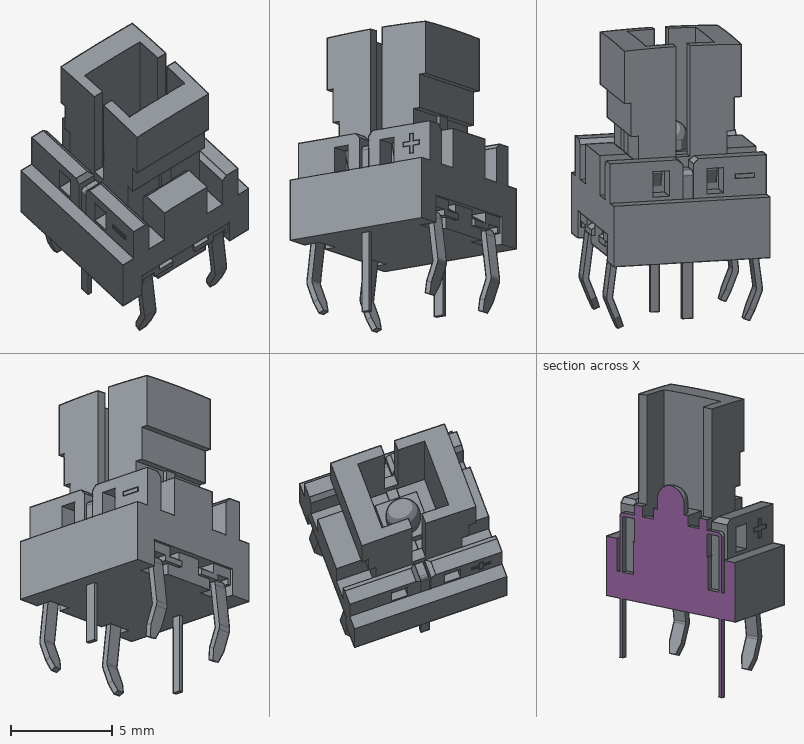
import cadquery as cq
import math


body_width = 8.0
half_body = body_width / 2
base_height = 1.39
ledge_height = 3.07
wall_top = 5.07
wall_outer_y = 3.32
wall_inner_y = 2.34
lead_in = 0.25
block_inner_x = 2.34
block_half_y = 1.36

window_width = 0.85
window_center_x = 1.39
window_bottom = 3.26
window_top = 4.55
hook_width = 0.58
hook_center_x = 1.42
hook_bottom = 3.58
hook_bevel_top = 4.25
hook_reach = 0.19

mark_x = 2.9
mark_z = 4.08
mark_length = 1.0
mark_line = 0.22
mark_height = 0.05

plunger_half_y = 2.28
plunger_foot_half_x = 2.26
plunger_neck_half_x = 2.65
plunger_head_half_x = 3.0
neck_bottom = 6.15
head_bottom = 7.85
dome_apex = 10.62
dome_radius = 55.52
rib_half_x = 2.47
rib_width = 0.61
cavity_width = 3.5
cavity_floor = 4.3
slot_width = 0.72

lamp_diameter = 1.7
lamp_dome_base = 5.5
lamp_base_width = 2.18
lamp_base_top = 4.98
lead_thickness = 0.2
lead_outer_y = 3.18
lead_top = 4.44
lead_bend_radius = 0.23
short_lead_width = 0.54
short_lead_tip = -3.02
long_lead_width = 0.44
long_lead_tip = -4.02
channel_width = 0.54

recess_half_y = 2.79
recess_x = 3.68
pad_x = 3.87
pad_inner_y = 0.7
pad_bottom = 0.57
notch_bottom = 0.86
notch_outer_y = 1.56
notch_slope = 30.0
leg_bay_inner_y = 1.5
leg_bay_x = 3.07

leg_center_y = 2.25
leg_width = 0.73
leg_thickness = 0.3
leg_top = notch_bottom
leg_tip_width = 0.38
leg_taper_length = 0.58
leg_outer_line = [(-2.92, leg_top), (-3.64, leg_top), (-4.0, -1.91), (-3.37, -3.49)]
leg_shoulder_radius = 0.55
leg_knee_radius = 0.53


def box(x0, x1, y0, y1, z0, z1):
    """Box between two opposite corners."""
    return cq.Workplane("XY").box(x1 - x0, y1 - y0, z1 - z0, centered=False).translate((x0, y0, z0))


def centered_box(width_x, width_y, z0, z1):
    """Box centred on the Z axis."""
    return box(-width_x / 2, width_x / 2, -width_y / 2, width_y / 2, z0, z1)


def both_sides(shape, plane):
    """The shape together with its mirror image."""
    return shape.union(shape.mirror(plane))


def make_wall():
    """Wall on the -Y side with its lead channel, latch windows and chamfered upper edges."""
    half_channel = channel_width / 2
    wall = box(half_channel, half_body, -wall_outer_y, -wall_inner_y, ledge_height, wall_top)
    wall = wall.faces(">Z").edges(">Y or <X").chamfer(lead_in)
    window = box(window_center_x - window_width / 2, window_center_x + window_width / 2,
                 -wall_outer_y, -wall_inner_y, window_bottom, window_top)
    return both_sides(wall.cut(window), "YZ")


def make_block():
    """Upright block on the -X side of the well."""
    block = box(-half_body, -block_inner_x, -block_half_y, block_half_y, ledge_height, wall_top)
    return block.edges("|Y and >X and >Z").chamfer(lead_in)


def make_side_recess():
    """Recess in the -X face of the base, leaving two notched pads and two leg bays."""
    recess = box(-half_body, -recess_x, -recess_half_y, recess_half_y, 0, base_height)
    pad = box(-pad_x, -recess_x, pad_inner_y, recess_half_y, pad_bottom, base_height)
    notch_height = base_height - notch_bottom
    notch_depth = notch_height / math.tan(math.radians(notch_slope))
    notch = (cq.Workplane("XZ", origin=(0, notch_outer_y, 0))
             .polyline([(-pad_x, notch_bottom), (-pad_x + notch_depth, base_height), (-pad_x, base_height)])
             .close().extrude(notch_outer_y - pad_inner_y))
    bay = box(-half_body, -leg_bay_x, leg_bay_inner_y, recess_half_y, 0, pad_bottom)
    leg_gap = box(-half_body, -leg_bay_x, leg_center_y - leg_width / 2, leg_center_y + leg_width / 2,
                  pad_bottom, leg_top)
    pads = both_sides(pad, "XZ")
    openings = both_sides(notch.union(bay).union(leg_gap), "XZ")
    return recess.cut(pads).union(openings)


def make_housing():
    """Square housing with two lead channels, two latch walls, two blocks and recessed ends."""
    housing = centered_box(body_width, body_width, 0, ledge_height)
    housing = housing.cut(both_sides(make_side_recess(), "YZ"))
    channel = box(-channel_width / 2, channel_width / 2, -wall_outer_y, -wall_inner_y,
                  base_height, ledge_height)
    housing = housing.cut(both_sides(channel, "XZ"))
    housing = housing.union(both_sides(make_wall(), "XZ"))
    return housing.union(both_sides(make_block(), "YZ"))


def make_hook():
    """Latch hook on the -Y face of the plunger, bevelled on its underside."""
    tip_y = -plunger_half_y - hook_reach
    return (cq.Workplane("YZ", origin=(hook_center_x - hook_width / 2, 0, 0))
            .polyline([(-plunger_half_y, hook_bottom), (tip_y, hook_bevel_top),
                       (tip_y, window_top), (-plunger_half_y, window_top)])
            .close().extrude(hook_width))


def make_plunger():
    """Stepped plunger with a domed top, a square lamp cavity and a slot on each Y side."""
    depth = 2 * plunger_half_y
    plunger = centered_box(2 * plunger_foot_half_x, depth, ledge_height, neck_bottom)
    plunger = plunger.union(centered_box(2 * rib_half_x, rib_width, ledge_height, neck_bottom))
    plunger = plunger.union(centered_box(2 * plunger_neck_half_x, depth, neck_bottom, head_bottom))
    plunger = plunger.union(centered_box(2 * plunger_head_half_x, depth, head_bottom, dome_apex))
    dome = cq.Workplane("XY").sphere(dome_radius).translate((0, 0, dome_apex - dome_radius))
    plunger = plunger.intersect(dome)
    plunger = plunger.cut(centered_box(cavity_width, cavity_width, cavity_floor, dome_apex))
    plunger = plunger.cut(centered_box(slot_width, depth, lamp_base_top, dome_apex))
    return plunger.union(both_sides(both_sides(make_hook(), "YZ"), "XZ"))


def make_lamp():
    """Lamp with a square base and a hemispherical top."""
    base = centered_box(lamp_base_width, lamp_base_width, cavity_floor, lamp_base_top)
    barrel = (cq.Workplane("XY").workplane(offset=lamp_base_top)
              .circle(lamp_diameter / 2).extrude(lamp_dome_base - lamp_base_top))
    dome = cq.Workplane("XY").sphere(lamp_diameter / 2).translate((0, 0, lamp_dome_base))
    return base.union(barrel).union(dome)


def make_lead(width, tip_z):
    """Lamp lead that runs out along -Y and bends down through the base."""
    inner_y = -lead_outer_y + lead_thickness
    profile = [(0, lead_top), (-lead_outer_y, lead_top), (-lead_outer_y, tip_z), (inner_y, tip_z),
               (inner_y, lead_top - lead_thickness), (0, lead_top - lead_thickness)]
    lead = cq.Workplane("YZ").polyline(profile).close().extrude(width / 2, both=True)
    lead = lead.edges(cq.selectors.NearestToPointSelector((0, -lead_outer_y, lead_top)))
    lead = lead.fillet(lead_bend_radius)
    lead = lead.edges(cq.selectors.NearestToPointSelector((0, inner_y, lead_top - lead_thickness)))
    return lead.fillet(lead_bend_radius - lead_thickness)


def offset_line(points, distance):
    """Open polyline shifted to its left by a distance, with mitred corners."""
    headings = [math.atan2(b[1] - a[1], b[0] - a[0]) for a, b in zip(points, points[1:])]
    shifted = []
    for i, (x, z) in enumerate(points):
        before = headings[max(i - 1, 0)]
        after = headings[min(i, len(headings) - 1)]
        normal = (before + after) / 2 + math.pi / 2
        reach = distance / math.cos((after - before) / 2)
        shifted.append((x + reach * math.cos(normal), z + reach * math.sin(normal)))
    return shifted


def make_leg():
    """Bent spring leg at the (-X, +Y) corner with a tapered tip."""
    inner_line = offset_line(leg_outer_line, leg_thickness)
    leg = (cq.Workplane("XZ").polyline(leg_outer_line + inner_line[::-1]).close()
           .extrude(leg_width / 2, both=True))
    for bend, radius in ((1, leg_shoulder_radius), (2, leg_knee_radius)):
        for line, bend_radius in ((leg_outer_line, radius), (inner_line, radius - leg_thickness)):
            corner = (line[bend][0], 0, line[bend][1])
            leg = leg.edges(cq.selectors.NearestToPointSelector(corner)).fillet(bend_radius)
    knee, tip = leg_outer_line[2:]
    tip_frame = cq.Plane(origin=(tip[0], 0, tip[1]), xDir=(0, 1, 0),
                         normal=(knee[1] - tip[1], 0, tip[0] - knee[0]))
    for side in (-1, 1):
        corner_cut = (cq.Workplane(tip_frame)
                      .polyline([(side * leg_tip_width / 2, 0), (side * leg_width / 2, 0),
                                 (side * leg_width / 2, leg_taper_length)])
                      .close().extrude(leg_thickness, both=True))
        leg = leg.cut(corner_cut)
    return leg.translate((0, leg_center_y, 0))


def make_marks():
    """Minus sign on the -Y wall and plus sign on the +Y wall."""
    bar = box(mark_x - mark_length / 2, mark_x + mark_length / 2,
              -wall_outer_y - mark_height, -wall_outer_y,
              mark_z - mark_line / 2, mark_z + mark_line / 2)
    upright = bar.rotate((mark_x, 0, mark_z), (mark_x, 1, mark_z), 90)
    plus = bar.union(upright).rotate((0, 0, 0), (0, 0, 1), 180)
    return bar.union(plus)


result = make_housing().union(make_plunger()).union(make_lamp()).union(make_marks())
result = result.union(make_lead(short_lead_width, short_lead_tip))
result = result.union(make_lead(long_lead_width, long_lead_tip).mirror("XZ"))
result = result.union(both_sides(both_sides(make_leg(), "XZ"), "YZ"))